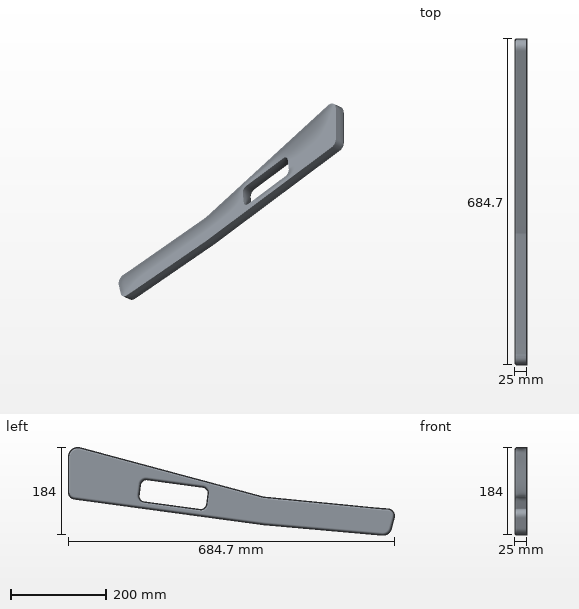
import cadquery as cq
import math

THICKNESS = 25.0
LENGTH = 684.7
HEIGHT = 184.0

REAR_TOP_HEIGHT = 190.3
REAR_BOTTOM_HEIGHT = 77.8
FOLD_DISTANCE = 409.5
FOLD_TOP_HEIGHT = 80.3
FOLD_BOTTOM_HEIGHT = 22.3
TIP_SEAM_TOP_DISTANCE = 641.5
TIP_SEAM_TOP_HEIGHT = 57.7
TIP_SEAM_BOTTOM_DISTANCE = 636.5
TIP_SEAM_BOTTOM_HEIGHT = 2.2
TIP_STEP_DISTANCE = 662.0
TIP_STEP_HEIGHT = 55.9
TIP_STEP_LENGTH = 4.2
TIP_STEP_DROP = 0.1
TIP_TOP_DISTANCE = 688.9
TIP_TOP_HEIGHT = 53.9
TIP_BOTTOM_DISTANCE = 674.0
TIP_BOTTOM_HEIGHT = -1.0
REAR_TOP_RADIUS = 20.0
REAR_BOTTOM_RADIUS = 15.0
TIP_TOP_RADIUS = 15.0
TIP_BOTTOM_RADIUS = 18.0

WINDOW_LENGTH = 143.0
WINDOW_HEIGHT = 47.0
WINDOW_DISTANCE = 220.9
WINDOW_CENTER_HEIGHT = 85.4
WINDOW_CORNER_RADIUS = 12.0

RIM_RADIUS = 5.0


def place(distance, height):
    """Point in the YZ plane, with the part centred on the origin."""
    return (LENGTH / 2 - distance, height - HEIGHT / 2)


def round_corner(body, corner, radius):
    """Round the one edge along X that stands on the given outline corner."""
    edge = cq.selectors.NearestToPointSelector((0, *corner))
    return body.edges("|X").edges(edge).fillet(radius)


def make_body():
    rear_top = place(0, REAR_TOP_HEIGHT)
    rear_bottom = place(0, REAR_BOTTOM_HEIGHT)
    tip_top = place(TIP_TOP_DISTANCE, TIP_TOP_HEIGHT)
    tip_bottom = place(TIP_BOTTOM_DISTANCE, TIP_BOTTOM_HEIGHT)
    outline = [
        rear_bottom,
        rear_top,
        place(FOLD_DISTANCE, FOLD_TOP_HEIGHT),
        place(TIP_SEAM_TOP_DISTANCE, TIP_SEAM_TOP_HEIGHT),
        place(TIP_STEP_DISTANCE, TIP_STEP_HEIGHT),
        place(TIP_STEP_DISTANCE + TIP_STEP_LENGTH, TIP_STEP_HEIGHT - TIP_STEP_DROP),
        tip_top,
        tip_bottom,
        place(TIP_SEAM_BOTTOM_DISTANCE, TIP_SEAM_BOTTOM_HEIGHT),
        place(FOLD_DISTANCE, FOLD_BOTTOM_HEIGHT),
    ]
    body = cq.Workplane("YZ").polyline(outline).close().extrude(THICKNESS / 2, both=True)
    body = round_corner(body, rear_top, REAR_TOP_RADIUS)
    body = round_corner(body, rear_bottom, REAR_BOTTOM_RADIUS)
    body = round_corner(body, tip_top, TIP_TOP_RADIUS)
    return round_corner(body, tip_bottom, TIP_BOTTOM_RADIUS)


def make_window():
    """Window cutter, its long sides parallel to the rear bottom edge."""
    drop = REAR_BOTTOM_HEIGHT - FOLD_BOTTOM_HEIGHT
    slope = math.degrees(math.atan2(drop, FOLD_DISTANCE))
    y, z = place(WINDOW_DISTANCE, WINDOW_CENTER_HEIGHT)
    window = cq.Workplane("XY").box(THICKNESS, WINDOW_LENGTH, WINDOW_HEIGHT)
    window = window.edges("|X").fillet(WINDOW_CORNER_RADIUS)
    return window.rotate((0, 0, 0), (1, 0, 0), slope).translate((0, y, z))


result = make_body().cut(make_window()).faces("<X").edges().fillet(RIM_RADIUS)